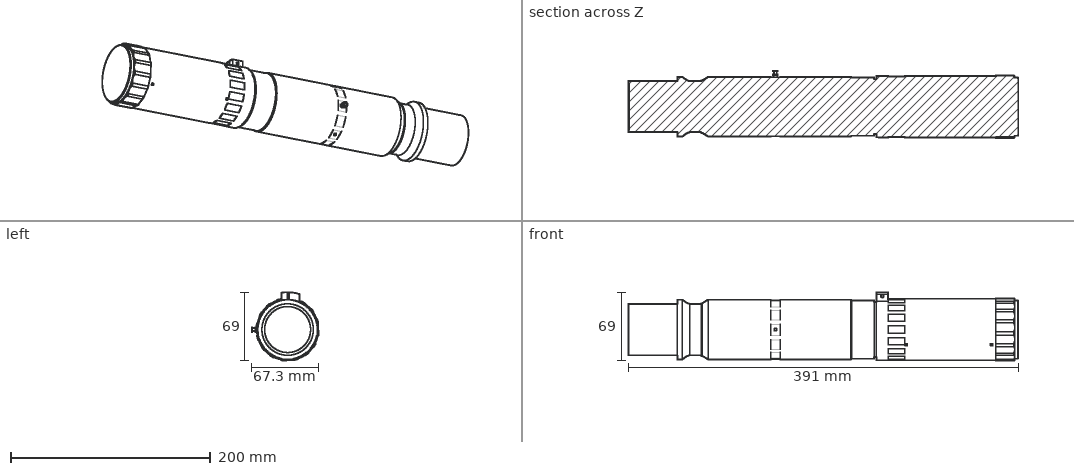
import math
import cadquery as cq

LENGTH = 391.0
FLANGE_START = 49.3
FLANGE_END = 54.5
WAIST_START = 61.5
WAIST_END = 73.0
LIP_END = 74.3
BODY_START = 80.0
BAND_START = 142.7
BAND_END = 152.0
BODY_END = 223.0
NECK_START = 246.5
CLAMP_START = 248.5
CLAMP_END = 260.5
KNURL_END = 277.0
GRIP_START = 368.5
GRIP_END = 387.0

TUBE_RADIUS = 26.0
LIP_RADIUS = 26.5
BODY_RADIUS = 30.0
STEP_RADIUS = 29.5
NECK_RADIUS = 27.8
REAR_RADIUS = 31.0
GRIP_RADIUS = REAR_RADIUS + 0.6
END_RADIUS = 29.5

BODY_END_TAPER = 1.0
END_CHAMFER = 0.8
GRIP_CHAMFER = 0.8
FLARE_SAG = 0.6

RECESS_RADIUS = 23.0
RECESS_DEPTH = 0.8

FLUTE_COUNT = 16
FLUTE_PITCH = 360 / FLUTE_COUNT
KNURL_FLUTE_ANGLE = 14.0
KNURL_FLUTE_DEPTH = 0.8
GRIP_FLUTE_ANGLE = 16.5
GRIP_FLUTE_DEPTH = 0.98
GRIP_FLUTE_TURN = 4.0

FLAT_COUNT = 12
FLAT_DEPTH = 0.5
FLAT_APOTHEM = BODY_RADIUS - FLAT_DEPTH
BAND_MIDDLE = (BAND_START + BAND_END) / 2
BAND_HOLE_DIAMETER = 2.7
BAND_HOLE_DEPTH = 4.0
BAND_HOLE_ANGLES = (60, 180, 300)

KNOB_RADIUS = 2.55
KNOB_WAIST_RADIUS = 1.5
KNOB_STEM_RADIUS = 2.0
KNOB_ROOT = 27.5
KNOB_BASE = 31.5
KNOB_BASE_TOP = 32.5
KNOB_CAP = 35.5
KNOB_TOP = KNOB_CAP + 0.3

SET_SCREW_DIAMETER = 2.5
SET_SCREW_DEPTH = 4.0
SET_SCREW_STATIONS = (278.5, 364.0)
SET_SCREW_ANGLES = (90, 210, 330)

LUG_RADIUS = 37.5
LUG_LEFT = 6.3
LUG_RIGHT = -12.0
LUG_SLOT_WIDTH = 1.0
CLAMP_SCREW_HEIGHT = 33.5
CLAMP_SCREW_DIAMETER = 2.7
SCREW_HEAD_DIAMETER = 8.2
SCREW_HEAD_LENGTH = 8.0


def cylinder_along_x(start, end, radius):
    return cq.Workplane("YZ", origin=(start, 0, 0)).circle(radius).extrude(end - start)


def turn(shape, angle):
    """Turn a shape about the barrel axis; +Y goes towards +Z."""
    return shape.rotate((0, 0, 0), (1, 0, 0), angle)


def barrel():
    flare_middle = (
        (FLANGE_END + WAIST_START) / 2,
        (BODY_RADIUS + TUBE_RADIUS) / 2 - FLARE_SAG,
    )
    profile = (
        cq.Workplane("XY")
        .lineTo(0, TUBE_RADIUS)
        .lineTo(FLANGE_START, TUBE_RADIUS)
        .lineTo(FLANGE_START, BODY_RADIUS)
        .lineTo(FLANGE_END, BODY_RADIUS)
        .threePointArc(flare_middle, (WAIST_START, TUBE_RADIUS))
        .lineTo(WAIST_END, TUBE_RADIUS)
        .lineTo(WAIST_END, LIP_RADIUS)
        .lineTo(LIP_END, LIP_RADIUS)
        .lineTo(BODY_START, BODY_RADIUS)
        .lineTo(BODY_END, BODY_RADIUS)
        .lineTo(BODY_END + BODY_END_TAPER, STEP_RADIUS)
        .lineTo(NECK_START, STEP_RADIUS)
        .lineTo(NECK_START, NECK_RADIUS)
        .lineTo(CLAMP_START, NECK_RADIUS)
        .lineTo(CLAMP_START, REAR_RADIUS)
        .lineTo(GRIP_START, REAR_RADIUS)
        .lineTo(GRIP_START, GRIP_RADIUS)
        .lineTo(GRIP_END - GRIP_CHAMFER, GRIP_RADIUS)
        .lineTo(GRIP_END, GRIP_RADIUS - GRIP_CHAMFER)
        .lineTo(GRIP_END, END_RADIUS)
        .lineTo(LENGTH - END_CHAMFER, END_RADIUS)
        .lineTo(LENGTH, END_RADIUS - END_CHAMFER)
        .lineTo(LENGTH, 0)
        .close()
    )
    return profile.revolve(360, (0, 0, 0), (1, 0, 0))


def flutes(start, end, ring_radius, flute_angle, depth, first_angle):
    """Concave flutes around a ring, each an arc that spans flute_angle of the rim."""
    half_angle = math.radians(flute_angle / 2)
    half_chord = ring_radius * math.sin(half_angle)
    chord_height = ring_radius * math.cos(half_angle)
    floor = ring_radius - depth
    sag = chord_height - floor
    arc_radius = (half_chord**2 + sag**2) / (2 * sag)
    cutter = cylinder_along_x(start, end, arc_radius).translate((0, floor + arc_radius, 0))
    cutters = cq.Workplane("XY")
    for index in range(FLUTE_COUNT):
        cutters = cutters.add(turn(cutter, first_angle + index * FLUTE_PITCH))
    return cutters.combine()


def band_of_flats():
    """Ring-shaped cutter that leaves flats, one of them facing +Y, separated by narrow lands."""
    outside = cylinder_along_x(BAND_START, BAND_END, BODY_RADIUS)
    core = (
        cq.Workplane("YZ", origin=(BAND_START, 0, 0))
        .polygon(FLAT_COUNT, 2 * FLAT_APOTHEM, circumscribed=True)
        .extrude(BAND_END - BAND_START)
    )
    return outside.cut(core)


def radial_hole(station, angle, surface, diameter, depth):
    hole = (
        cq.Workplane("XZ", origin=(station, surface - depth, 0))
        .circle(diameter / 2)
        .extrude(-2 * depth)
    )
    return turn(hole, angle)


def knob():
    profile = (
        cq.Workplane("XY", origin=(BAND_MIDDLE, 0, 0))
        .moveTo(0, KNOB_ROOT)
        .lineTo(KNOB_STEM_RADIUS, KNOB_ROOT)
        .lineTo(KNOB_STEM_RADIUS, KNOB_BASE)
        .lineTo(KNOB_RADIUS, KNOB_BASE)
        .lineTo(KNOB_RADIUS, KNOB_BASE_TOP)
        .lineTo(KNOB_WAIST_RADIUS, KNOB_BASE_TOP)
        .lineTo(KNOB_WAIST_RADIUS, KNOB_CAP)
        .lineTo(KNOB_RADIUS, KNOB_CAP)
        .lineTo(KNOB_RADIUS, KNOB_TOP)
        .lineTo(0, KNOB_TOP)
        .close()
    )
    return profile.revolve(360, (0, 0, 0), (0, 1, 0))


def block(start, end, right, left, bottom, top):
    size = (end - start, left - right, top - bottom)
    return cq.Workplane("XY").box(*size, centered=False).translate((start, right, bottom))


def clamp_lug():
    envelope = cylinder_along_x(CLAMP_START, CLAMP_END, LUG_RADIUS)
    return envelope.intersect(block(CLAMP_START, CLAMP_END, LUG_RIGHT, LUG_LEFT, NECK_RADIUS, LUG_RADIUS))


def clamp_cuts():
    """Slot that splits the lug, the screw hole across it and the room for the screw head."""
    middle = (CLAMP_START + CLAMP_END) / 2
    slot = block(CLAMP_START, CLAMP_END, -LUG_SLOT_WIDTH, 0, NECK_RADIUS, LUG_RADIUS)
    screw_hole = (
        cq.Workplane("XZ", origin=(middle, LUG_RIGHT, CLAMP_SCREW_HEIGHT))
        .circle(CLAMP_SCREW_DIAMETER / 2)
        .extrude(LUG_RIGHT - LUG_LEFT)
    )
    head_room = (
        cq.Workplane("XZ", origin=(middle, LUG_LEFT, CLAMP_SCREW_HEIGHT))
        .circle(SCREW_HEAD_DIAMETER / 2)
        .extrude(-SCREW_HEAD_LENGTH)
    )
    return slot.union(screw_hole).union(head_room)


result = barrel()
result = result.cut(cylinder_along_x(0, RECESS_DEPTH, RECESS_RADIUS))
result = result.cut(
    flutes(CLAMP_END, KNURL_END, REAR_RADIUS, KNURL_FLUTE_ANGLE, KNURL_FLUTE_DEPTH, 0)
)
result = result.cut(
    flutes(GRIP_START, GRIP_END, GRIP_RADIUS, GRIP_FLUTE_ANGLE, GRIP_FLUTE_DEPTH, -GRIP_FLUTE_TURN)
)

result = result.cut(band_of_flats())
for hole_angle in BAND_HOLE_ANGLES:
    result = result.cut(
        radial_hole(BAND_MIDDLE, hole_angle, FLAT_APOTHEM, BAND_HOLE_DIAMETER, BAND_HOLE_DEPTH)
    )
result = result.union(knob())

for screw_station in SET_SCREW_STATIONS:
    for screw_angle in SET_SCREW_ANGLES:
        result = result.cut(
            radial_hole(screw_station, screw_angle, REAR_RADIUS, SET_SCREW_DIAMETER, SET_SCREW_DEPTH)
        )

result = result.union(clamp_lug()).cut(clamp_cuts())